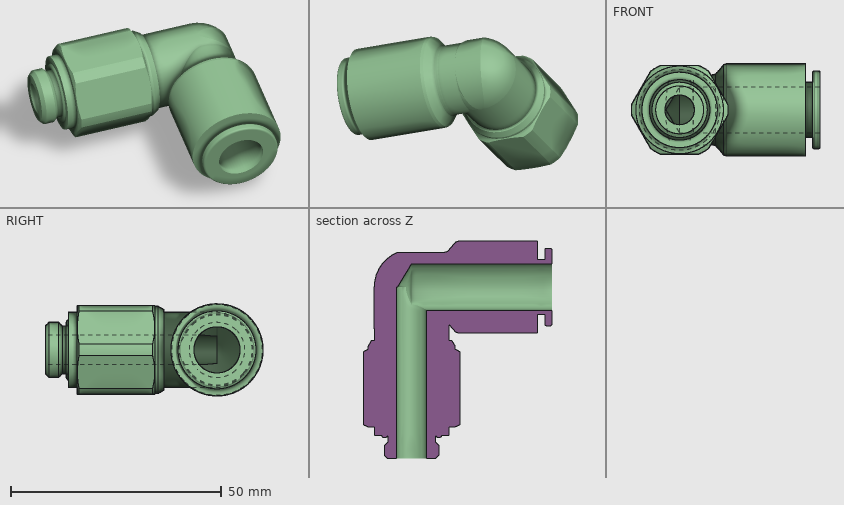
import cadquery as cq
import math


stem_radius = 8.95
arm_radius = 8.35
stem_end = -12.65

nut_across_flats = 21.15
nut_corner_radius = 11.5
nut_face_radius = 10.4
nut_top_chamfer = 0.6
nut_bottom_chamfer = 0.45
nut_top = -14.75
nut_bottom = -33.3
collar_top_radius = 9.6
collar_cone_end = -14.05

flange_end = -35.4
seal_radius = 7.2
seal_end = -35.9
relief_radius = 5.7
relief_end = -36.85
thread_radius = 6.6
thread_chamfer = thread_radius - relief_radius
spigot_end = -40.85
stem_bore_radius = 3.55

socket_radius = 11.0
socket_cone_start = 8.55
socket_cone_end = 10.5
socket_cone_small_radius = 8.55
socket_cone_large_radius = 10.8
neck_flare_start = 7.7
socket_body_start = 11.2
socket_end = 30.0
ring_neck_radius = 6.6
ring_radius = 9.3
ring_start = 31.65
arm_end = 33.45
ring_rounding = 0.45
tube_bore_radius = 5.5
drill_tip_angle = 118


def make_dome():
    """Half ball closing the stem, trimmed to blend with the smaller arm."""
    quarter_ball = (
        cq.Workplane("XY")
        .moveTo(0, 0)
        .lineTo(stem_radius, 0)
        .radiusArc((0, stem_radius), -stem_radius)
        .close()
        .revolve(180, (0, 0, 0), (0, 1, 0))
    )
    axis_offset = (stem_radius**2 - arm_radius**2) / (2 * arm_radius)
    trim = (
        cq.Workplane("YZ", origin=(-2 * stem_radius, -axis_offset, 0))
        .circle(arm_radius + axis_offset)
        .extrude(4 * stem_radius)
    )
    half_dome = quarter_ball.intersect(trim)
    return half_dome.union(half_dome.mirror("XY"))


def make_stem():
    """Turned parts on the Y axis: stem, nut collar, flange and spigot."""
    return (
        cq.Workplane("XY")
        .moveTo(0, 0)
        .lineTo(stem_radius, 0)
        .lineTo(stem_radius, stem_end)
        .lineTo(collar_top_radius, stem_end)
        .lineTo(nut_face_radius, collar_cone_end)
        .lineTo(nut_face_radius, nut_top)
        .lineTo(stem_radius, nut_top)
        .lineTo(stem_radius, flange_end)
        .lineTo(seal_radius, flange_end)
        .threePointArc(((seal_radius + relief_radius) / 2, seal_end), (relief_radius, flange_end))
        .lineTo(relief_radius, relief_end)
        .lineTo(thread_radius, relief_end - thread_chamfer)
        .lineTo(thread_radius, spigot_end + thread_chamfer)
        .lineTo(thread_radius - thread_chamfer, spigot_end)
        .lineTo(0, spigot_end)
        .close()
        .revolve(360, (0, 0, 0), (0, 1, 0))
    )


def make_nut():
    """Hexagon with turned corners and chamfered ends, points along X."""
    hexagon = (
        cq.Workplane("XZ", origin=(0, nut_top, 0))
        .polygon(6, nut_across_flats / math.cos(math.pi / 6))
        .extrude(nut_top - nut_bottom)
    )
    envelope = (
        cq.Workplane("XY")
        .moveTo(0, nut_top)
        .lineTo(nut_face_radius, nut_top)
        .lineTo(nut_corner_radius, nut_top - nut_top_chamfer)
        .lineTo(nut_corner_radius, nut_bottom + nut_bottom_chamfer)
        .lineTo(nut_face_radius, nut_bottom)
        .lineTo(0, nut_bottom)
        .close()
        .revolve(360, (0, 0, 0), (0, 1, 0))
    )
    return hexagon.intersect(envelope)


def make_arm():
    """Turned parts on the X axis: neck, tube socket and release ring."""
    arm = (
        cq.Workplane("XY")
        .moveTo(0, 0)
        .lineTo(0, arm_radius)
        .lineTo(neck_flare_start, arm_radius)
        .tangentArcPoint((socket_cone_start, socket_cone_small_radius), relative=False)
        .lineTo(socket_cone_end, socket_cone_large_radius)
        .lineTo(socket_body_start, socket_radius)
        .lineTo(socket_end, socket_radius)
        .lineTo(socket_end, ring_neck_radius)
        .lineTo(arm_end, ring_neck_radius)
        .lineTo(arm_end, 0)
        .close()
        .revolve(360, (0, 0, 0), (1, 0, 0))
    )
    ring = (
        cq.Workplane("YZ", origin=(ring_start, 0, 0))
        .circle(ring_radius)
        .extrude(arm_end - ring_start)
        .edges()
        .fillet(ring_rounding)
    )
    return arm.union(ring)


def make_stem_bore():
    """Bore from the spigot face to the arm axis."""
    return cq.Workplane("XZ").circle(stem_bore_radius).extrude(-spigot_end)


def make_tube_bore():
    """Drilled tube bore, with its conical tip beyond the stem axis."""
    tip_length = tube_bore_radius / math.tan(math.radians(drill_tip_angle / 2))
    return (
        cq.Workplane("XZ")
        .moveTo(-tip_length, 0)
        .lineTo(0, tube_bore_radius)
        .lineTo(arm_end, tube_bore_radius)
        .lineTo(arm_end, 0)
        .close()
        .revolve(360, (0, 0, 0), (1, 0, 0))
    )


body = make_stem().union(make_dome()).union(make_nut()).union(make_arm())
result = body.cut(make_tube_bore()).cut(make_stem_bore())